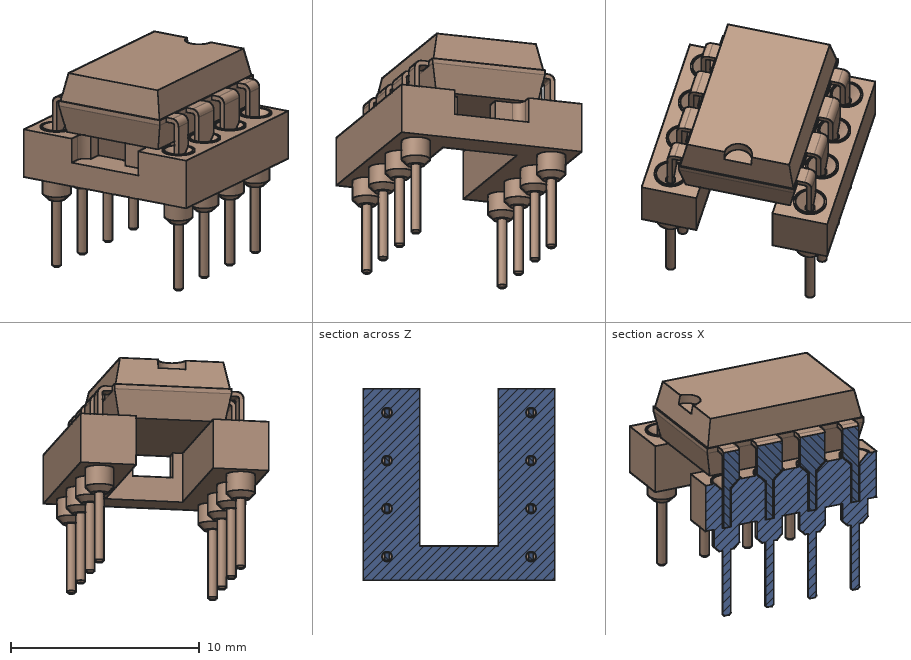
import cadquery as cq
import math


pitch = 2.54
pins_per_row = 4
row_spacing = 3 * pitch
pin_ys = [(i - (pins_per_row - 1) / 2) * pitch for i in range(pins_per_row)]
row_sides = (-1, 1)

collar_bottom_z = 3.77
housing_bottom_z = 5.1
housing_top_z = 7.75
rim_top_z = 7.8
chip_bottom_z = rim_top_z
chip_top_z = 11.06

housing_size = 10.16
opening_width = 4.16
end_bar_width = 1.84
notch_floor_z = 6.41
notch_depth_y = 1.07
notch_corner_radius = 0.52
slot_left_x = -opening_width / 2 + notch_corner_radius
slot_right_x = 0.6

rim_diameter = 1.73
collar_diameter = 1.53
collar_chamfer = 0.32
tail_diameter = 0.51
tail_chamfer = 0.11
bore_diameter = tail_diameter
bore_bottom_z = housing_bottom_z
cone_depth = (collar_diameter - bore_diameter) / 2
cone_bottom_z = rim_top_z - cone_depth

band_width = 6.33
band_length = 9.29
band_bottom_z = 9.29
lead_thickness = 0.25
band_top_z = band_bottom_z + lead_thickness
ledge = 0.07
draft_angle = 11.4
key_radius = 0.74
key_depth = 0.5

bend_radius = 0.39
lead_width = 0.42
shoulder_half_width = 0.75
shoulder_z = rim_top_z
taper_end_z = cone_bottom_z


def make_housing():
    """Square frame, open at the +Y end, with a stepped notch in the bar at the -Y end."""
    front_y = -housing_size / 2
    height = housing_top_z - housing_bottom_z
    block = (
        cq.Workplane("XY")
        .workplane(offset=housing_bottom_z)
        .rect(housing_size, housing_size)
        .extrude(height)
    )
    opening_length = housing_size - end_bar_width
    opening = (
        cq.Workplane("XY")
        .workplane(offset=housing_bottom_z)
        .center(0, end_bar_width / 2)
        .rect(opening_width, opening_length)
        .extrude(height)
    )
    notch_height = housing_top_z - notch_floor_z
    notch = (
        cq.Workplane("XY")
        .box(opening_width, notch_depth_y, notch_height, centered=(True, False, False))
        .edges("|Z and >Y")
        .fillet(notch_corner_radius)
        .translate((0, front_y, notch_floor_z))
    )
    slot = (
        cq.Workplane("XY")
        .box(slot_right_x - slot_left_x, end_bar_width, notch_height, centered=False)
        .translate((slot_left_x, front_y, notch_floor_z))
    )
    return block.cut(opening).cut(notch).cut(slot)


def make_socket_pin():
    """Turned pin on the Z axis: thin tail, collar and a rim just proud of the housing."""
    tail_radius = tail_diameter / 2
    collar_radius = collar_diameter / 2
    rim_radius = rim_diameter / 2
    return (
        cq.Workplane("XZ")
        .moveTo(0, 0)
        .lineTo(tail_radius - tail_chamfer, 0)
        .lineTo(tail_radius, tail_chamfer)
        .lineTo(tail_radius, collar_bottom_z)
        .lineTo(collar_radius - collar_chamfer, collar_bottom_z)
        .lineTo(collar_radius, collar_bottom_z + collar_chamfer)
        .lineTo(collar_radius, housing_bottom_z)
        .lineTo(rim_radius, housing_bottom_z)
        .lineTo(rim_radius, rim_top_z)
        .lineTo(0, rim_top_z)
        .close()
        .revolve(360, (0, 0, 0), (0, 1, 0))
    )


def make_pin_bore():
    """Funnel and blind bore that receive one chip lead."""
    return (
        cq.Workplane("XZ")
        .moveTo(0, bore_bottom_z)
        .lineTo(bore_diameter / 2, bore_bottom_z)
        .lineTo(bore_diameter / 2, cone_bottom_z)
        .lineTo(collar_diameter / 2, rim_top_z)
        .lineTo(0, rim_top_z)
        .close()
        .revolve(360, (0, 0, 0), (0, 1, 0))
    )


def make_socket():
    """Housing with all its pins, each one bored to receive a lead."""
    socket = make_housing()
    pin = make_socket_pin()
    bore = make_pin_bore()
    for side in row_sides:
        for y in pin_ys:
            place = (side * row_spacing / 2, y, 0)
            socket = socket.union(pin.translate(place)).cut(bore.translate(place))
    return socket


def make_package():
    """Plastic body: a straight band with a drafted half above and below, and a key notch."""
    upper_height = chip_top_z - band_top_z
    band = (
        cq.Workplane("XY")
        .workplane(offset=band_bottom_z)
        .rect(band_width, band_length)
        .extrude(lead_thickness)
    )
    lower = (
        cq.Workplane("XY")
        .workplane(offset=band_bottom_z)
        .rect(band_width, band_length)
        .extrude(chip_bottom_z - band_bottom_z, taper=draft_angle)
    )
    upper_length = band_length - 2 * ledge
    upper = (
        cq.Workplane("XY")
        .workplane(offset=band_top_z)
        .rect(band_width - 2 * ledge, upper_length)
        .extrude(upper_height, taper=draft_angle)
    )
    top_edge_y = upper_length / 2 - upper_height * math.tan(math.radians(draft_angle))
    key = (
        cq.Workplane("XY")
        .workplane(offset=chip_top_z - key_depth)
        .center(0, top_edge_y)
        .circle(key_radius)
        .extrude(key_depth)
    )
    return band.union(lower).union(upper).cut(key)


def make_lead(side, y):
    """Lead bent down over one socket pin; end leads have a shoulder only on their inner side."""
    outer_x = row_spacing / 2 + lead_thickness / 2
    inner_radius = bend_radius - lead_thickness
    strip = (
        cq.Workplane("XZ")
        .moveTo(band_width / 2, band_top_z)
        .lineTo(outer_x - bend_radius, band_top_z)
        .radiusArc((outer_x, band_top_z - bend_radius), bend_radius)
        .lineTo(outer_x, bore_bottom_z)
        .lineTo(outer_x - lead_thickness, bore_bottom_z)
        .lineTo(outer_x - lead_thickness, band_top_z - bend_radius)
        .radiusArc((outer_x - bend_radius, band_bottom_z), -inner_radius)
        .lineTo(band_width / 2, band_bottom_z)
        .close()
        .extrude(shoulder_half_width, both=True)
    )
    has_left_shoulder = y > min(pin_ys)
    has_right_shoulder = y < max(pin_ys)
    left = shoulder_half_width if has_left_shoulder else lead_width / 2
    right = shoulder_half_width if has_right_shoulder else lead_width / 2
    outline_points = [(-lead_width / 2, bore_bottom_z), (lead_width / 2, bore_bottom_z)]
    if has_right_shoulder:
        outline_points.append((lead_width / 2, taper_end_z))
    outline_points += [(right, shoulder_z), (right, band_top_z), (-left, band_top_z), (-left, shoulder_z)]
    if has_left_shoulder:
        outline_points.append((-lead_width / 2, taper_end_z))
    outline = cq.Workplane("YZ").polyline(outline_points).close().extrude(outer_x)
    lead = strip.intersect(outline).translate((0, y, 0))
    return lead if side > 0 else lead.mirror("YZ")


def make_chip():
    """Package with both rows of leads."""
    chip = make_package()
    for side in row_sides:
        for y in pin_ys:
            chip = chip.union(make_lead(side, y))
    return chip


chip = make_chip()
socket = make_socket()

result = cq.Compound.makeCompound([socket.solids().val(), chip.solids().val()])